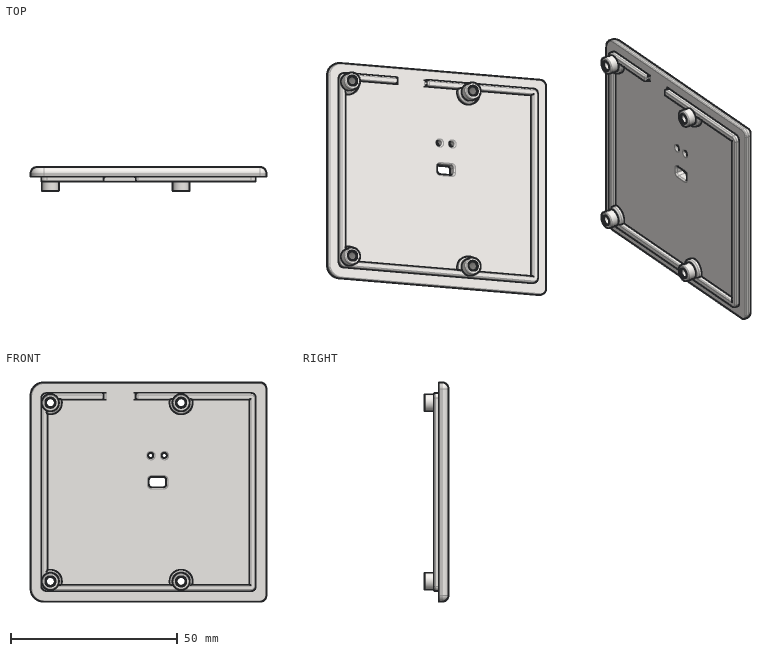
import cadquery as cq
import math

length = 71.0
height = 66.0
total_depth = 7.3
plate_thickness = 3.0
left_corner_radius = 4.0
right_corner_radius = 2.0
back_edge_radius = 2.0
front_edge_radius = 0.3

rim_inset = 3.2
rim_width = 2.0
rim_height = 1.5
rim_left_corner_radius = 1.7
rim_right_corner_radius = 1.5
rim_edge_radius = 0.5
rim_inner_horizontal_edge_radius = 0.3
gap_left = -13.4
gap_right = -3.8
gap_foot_radius = 0.5

post_xs = (-29.5, 9.8)
post_zs = (-26.85, 26.85)
boss_radius = 3.5
boss_edge_radius = 0.5
post_radius = 2.6
post_edge_radius = 0.3
screw_hole_radius = 1.3
screw_hole_chamfer = 0.3

window_x = 2.7
window_z = 3.0
window_length = 5.1
window_height = 3.0
window_corner_radius = 0.75
indicator_pitch = 4.1
indicator_z = 11.0
indicator_radius = 0.75
opening_edge_radius = 0.5

back_y = total_depth / 2
plate_front_y = back_y - plate_thickness
rim_front_y = plate_front_y - rim_height
post_front_y = back_y - total_depth

rim_outer_length = length - 2 * rim_inset
rim_outer_height = height - 2 * rim_inset
rim_inner_length = rim_outer_length - 2 * rim_width
rim_inner_height = rim_outer_height - 2 * rim_width

post_centers = [(x, z) for x in post_xs for z in post_zs]

tolerance = 0.01


def plane_at(y):
    """XZ sketch plane at depth y; extrusions grow toward the front (-Y)."""
    return cq.Workplane("XZ", origin=(0, y, 0))


def slab_selector(x_limits, z_limits, y):
    """Select what is centred at depth y, within the given X and Z limits."""
    return cq.selectors.BoxSelector(
        (x_limits[0] - tolerance, y - tolerance, z_limits[0] - tolerance),
        (x_limits[1] + tolerance, y + tolerance, z_limits[1] + tolerance),
    )


def rounded_block(size_x, size_z, y, depth, left_radius, right_radius):
    block = plane_at(y).rect(size_x, size_z).extrude(depth)
    block = block.edges("|Y and <X").fillet(left_radius)
    return block.edges("|Y and >X").fillet(right_radius)


def round_front_opening(body, x, z, reach_x, reach_z):
    """Round the plate-front edge of the opening centred at (x, z)."""
    opening_edge = slab_selector((x - reach_x, x + reach_x), (z - reach_z, z + reach_z), plate_front_y)
    return body.edges(opening_edge).fillet(opening_edge_radius)


def make_plate():
    plate = rounded_block(
        length, height, back_y, plate_thickness, left_corner_radius, right_corner_radius
    )
    plate = plate.faces(">Y").edges().fillet(back_edge_radius)
    return plate.faces("<Y").edges().fillet(front_edge_radius)


def cut_window(plate):
    window = plane_at(back_y).center(window_x, window_z).rect(window_length, window_height)
    window = window.extrude(plate_thickness).edges("|Y").fillet(window_corner_radius)
    plate = plate.cut(window)
    return round_front_opening(plate, window_x, window_z, window_length / 2, window_height / 2)


def cut_indicator_holes(plate):
    for side in (-1, 1):
        x = window_x + side * indicator_pitch / 2
        hole = plane_at(back_y).center(x, indicator_z).circle(indicator_radius)
        plate = plate.cut(hole.extrude(plate_thickness))
        plate = round_front_opening(plate, x, indicator_z, indicator_radius, indicator_radius)
    return plate


def make_rim_envelope():
    """Solid block bounded by the outer faces of the rim."""
    block = rounded_block(
        rim_outer_length, rim_outer_height, plate_front_y, rim_height,
        rim_left_corner_radius, rim_right_corner_radius,
    )
    return block.faces("<Y").edges().fillet(rim_edge_radius)


def make_rim(envelope):
    opening = plane_at(plate_front_y).rect(rim_inner_length, rim_inner_height)
    gap = (
        plane_at(plate_front_y)
        .center((gap_left + gap_right) / 2, (rim_outer_height - rim_width) / 2)
        .rect(gap_right - gap_left, rim_width)
    )
    rim = envelope.cut(opening.extrude(rim_height)).cut(gap.extrude(rim_height))

    inner_x = (-rim_inner_length / 2, rim_inner_length / 2)
    inner_z = (-rim_inner_height / 2, rim_inner_height / 2)
    inner_edges = slab_selector(inner_x, inner_z, rim_front_y)
    rim = rim.edges(inner_edges).edges("|Z").fillet(rim_edge_radius)
    rim = rim.edges(inner_edges).edges("|X").fillet(rim_inner_horizontal_edge_radius)

    top_side = (inner_z[1], rim_outer_height / 2)
    gap_edges = slab_selector((gap_left, gap_right), top_side, rim_front_y)
    return rim.edges(gap_edges).edges("|Z").fillet(rim_edge_radius)


def make_gap_foot(end_x, direction):
    """Concave foot blending a rim end at the gap into the plate; direction is +1 or -1 along X."""
    rim_inner_top = rim_inner_height / 2
    tip_x = end_x + direction * gap_foot_radius
    foot_front_y = plate_front_y - gap_foot_radius
    arc_offset = gap_foot_radius * (1 - math.sqrt(0.5))
    return (
        cq.Workplane("XY", origin=(0, 0, rim_inner_top))
        .moveTo(end_x, plate_front_y)
        .lineTo(tip_x, plate_front_y)
        .threePointArc(
            (end_x + direction * arc_offset, plate_front_y - arc_offset),
            (end_x, foot_front_y),
        )
        .close()
        .extrude(rim_width)
    )


def make_posts(envelope):
    """Posts on bosses; the bosses are trimmed to the outer faces of the rim."""
    bosses = plane_at(plate_front_y).pushPoints(post_centers).circle(boss_radius).extrude(rim_height)
    bosses = bosses.faces("<Y").edges().fillet(boss_edge_radius).intersect(envelope)
    post_height = plate_front_y - post_front_y
    posts = plane_at(plate_front_y).pushPoints(post_centers).circle(post_radius).extrude(post_height)
    posts = posts.faces("<Y").edges().fillet(post_edge_radius)
    return bosses.union(posts)


def make_screw_holes():
    """Through-hole cutters, each flared by a chamfer at the post tip."""
    holes = plane_at(back_y).pushPoints(post_centers).circle(screw_hole_radius).extrude(total_depth)
    for x, z in post_centers:
        flare = cq.Solid.makeCone(
            screw_hole_radius + screw_hole_chamfer, screw_hole_radius, screw_hole_chamfer,
            pnt=cq.Vector(x, post_front_y, z), dir=cq.Vector(0, 1, 0),
        )
        holes = holes.union(cq.Workplane(obj=flare))
    return holes


rim_envelope = make_rim_envelope()
plate = cut_indicator_holes(cut_window(make_plate()))
body = plate.union(make_rim(rim_envelope))
body = body.union(make_gap_foot(gap_left, 1)).union(make_gap_foot(gap_right, -1))
result = body.union(make_posts(rim_envelope)).cut(make_screw_holes())